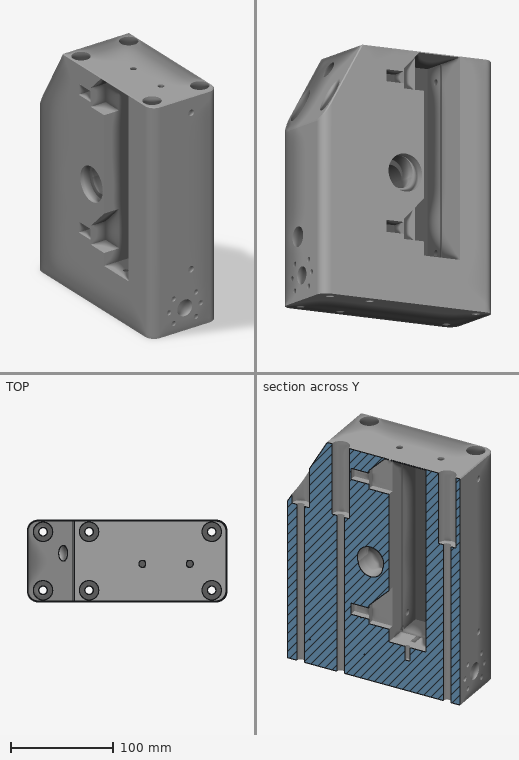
import cadquery as cq
import math

LENGTH = 195.0
WIDTH = 80.0
HEIGHT = 253.0
SLOPE_RUN = 45.0
SLOPE_START = 174.8
CORNER_RADIUS = 10.4
EDGE_CHAMFER = 1.0
MID_Y = WIDTH / 2

SCREW_XS = (15.2, 60.2, 180.1)
SCREW_Y_OFFSET = 28.5
SCREW_DIAMETER = 8.0
SCREW_HEAD_DIAMETER = 19.0
SCREW_SEAT_Z = 174.5

POCKET_LEFT = 115.0
POCKET_RIGHT = 155.8
POCKET_FLOOR = 49.3
POCKET_SKIN = 1.3
POCKET_CEILING = HEIGHT - POCKET_SKIN
POCKET_DEPTH = 63.2
POCKET_MID_X = (POCKET_LEFT + POCKET_RIGHT) / 2

NICHE_FLOORS = (63.5, 214.0)
NICHE_LEFT = 92.5
NICHE_SIDE_HEIGHT = 20.5
NICHE_DEPTH = 18.0
WINDOW_LEFT = 72.4
WINDOW_WEB = 0.3
WINDOW_RISE = 5.0
WINDOW_HEIGHT = 12.0

BORE_X = 93.9
BORE_Z = 130.0
BORE_DIAMETER = 27.0
BORE_HEAD_DIAMETER = 38.0
BORE_HEAD_DEPTH = 11.1
RELIEF_DIAMETER = 29.0
RELIEF_DEPTH = 30.4
RELIEF_RISE = (BORE_HEAD_DIAMETER - RELIEF_DIAMETER) / 2

BOLT_Y = 47.5
BOLT_DIAMETER = 6.8
UPPER_BOLT_Z = 235.3
UPPER_BOLT_HEAD_DIAMETER = 15.2
UPPER_BOLT_SEAT_X = 55.7
LOWER_BOLT_Z = 64.5
LOWER_BOLT_HEAD_DIAMETER = 20.5
LOWER_BOLT_SEAT_X = 11.5

PORT_Z = 24.5
PORT_DIAMETER = 18.0
PORT_RING_DIAMETER = 38.0
PORT_HOLE_DIAMETER = 5.3
PORT_HOLE_ANGLES = (0, 45, 135, 180, 225, 315)

CHANNEL_DIAMETER = 6.8
RISER_SPACING = 46.5
RISER_Y = 37.2
RISER_BOTTOM = 47.3
MANIFOLD_Z = 51.0
FEED_DIAMETER = 5.3
FEED_FRONT_Y = 22.0
FLOOR_HOLE_DIAMETER = 5.3
FLOOR_HOLE_Y = 11.6
FLOOR_HOLE_DEPTH = 15.2


def rod_x(diameter, y, z, start=0.0, end=LENGTH):
    """Cylinder along X."""
    return cq.Workplane("YZ", origin=(start, y, z)).circle(diameter / 2).extrude(end - start)


def rod_y(diameter, x, z, start=0.0, end=WIDTH):
    """Cylinder along Y."""
    return cq.Workplane("XZ", origin=(x, start, z)).circle(diameter / 2).extrude(start - end)


def rod_z(diameter, x, y, start=0.0, end=HEIGHT):
    """Cylinder along Z."""
    return cq.Workplane("XY", origin=(x, y, start)).circle(diameter / 2).extrude(end - start)


def front_recess(points, depth):
    """Prism sunk from the front face, with its outline given in X and Z."""
    return cq.Workplane("XZ").polyline(points).close().extrude(-depth)


def rectangle(left, bottom, right, top):
    return [(left, bottom), (right, bottom), (right, top), (left, top)]


def make_block():
    outline = [
        (0, 0),
        (LENGTH, 0),
        (LENGTH, HEIGHT),
        (SLOPE_RUN, HEIGHT),
        (0, SLOPE_START),
    ]
    block = front_recess(outline, WIDTH).edges("|Z").fillet(CORNER_RADIUS)
    slope_normal = cq.Vector(SLOPE_START - HEIGHT, 0, SLOPE_RUN)
    top_face = cq.selectors.DirectionMinMaxSelector(cq.Vector(0, 0, 1))
    slope_face = cq.selectors.DirectionMinMaxSelector(slope_normal)
    return block.faces(top_face + slope_face).edges().chamfer(EDGE_CHAMFER)


def cut_screws(body):
    for x in SCREW_XS:
        for y in (MID_Y - SCREW_Y_OFFSET, MID_Y + SCREW_Y_OFFSET):
            body = body.cut(rod_z(SCREW_DIAMETER, x, y))
            body = body.cut(rod_z(SCREW_HEAD_DIAMETER, x, y, start=SCREW_SEAT_Z))
    return body


def cut_pocket(body):
    pocket = rectangle(POCKET_LEFT, POCKET_FLOOR, POCKET_RIGHT, POCKET_CEILING)
    return body.cut(front_recess(pocket, POCKET_DEPTH))


def cut_niches(body):
    for floor in NICHE_FLOORS:
        side_top = floor + NICHE_SIDE_HEIGHT
        roof_top = min(side_top + POCKET_LEFT - NICHE_LEFT, POCKET_CEILING)
        roof_x = NICHE_LEFT + roof_top - side_top
        niche = [
            (NICHE_LEFT, floor),
            (POCKET_RIGHT, floor),
            (POCKET_RIGHT, roof_top),
            (roof_x, roof_top),
            (NICHE_LEFT, side_top),
        ]
        body = body.cut(front_recess(niche, NICHE_DEPTH))

        sill = floor + WINDOW_RISE
        window = rectangle(WINDOW_LEFT, sill, NICHE_LEFT - WINDOW_WEB, sill + WINDOW_HEIGHT)
        body = body.cut(front_recess(window, NICHE_DEPTH))
    return body


def cut_cross_bore(body):
    body = body.cut(rod_y(BORE_DIAMETER, BORE_X, BORE_Z))
    body = body.cut(rod_y(BORE_HEAD_DIAMETER, BORE_X, BORE_Z, end=BORE_HEAD_DEPTH))
    return body.cut(rod_y(RELIEF_DIAMETER, BORE_X, BORE_Z + RELIEF_RISE, end=RELIEF_DEPTH))


def cut_bolts(body):
    bolts = (
        (UPPER_BOLT_Z, UPPER_BOLT_HEAD_DIAMETER, UPPER_BOLT_SEAT_X),
        (LOWER_BOLT_Z, LOWER_BOLT_HEAD_DIAMETER, LOWER_BOLT_SEAT_X),
    )
    for z, head_diameter, seat_x in bolts:
        body = body.cut(rod_x(BOLT_DIAMETER, BOLT_Y, z))
        body = body.cut(rod_x(head_diameter, BOLT_Y, z, end=seat_x))
    return body


def cut_port(body):
    ring_radius = PORT_RING_DIAMETER / 2
    body = body.cut(rod_x(PORT_DIAMETER, MID_Y, PORT_Z))
    for angle in PORT_HOLE_ANGLES:
        y = MID_Y + ring_radius * math.cos(math.radians(angle))
        z = PORT_Z + ring_radius * math.sin(math.radians(angle))
        body = body.cut(rod_x(PORT_HOLE_DIAMETER, y, z))
    return body


def cut_channels(body):
    left_x = POCKET_MID_X - RISER_SPACING / 2
    right_x = POCKET_MID_X + RISER_SPACING / 2
    for x in (left_x, right_x):
        body = body.cut(rod_z(CHANNEL_DIAMETER, x, RISER_Y, start=RISER_BOTTOM))
    body = body.cut(rod_x(CHANNEL_DIAMETER, RISER_Y, MANIFOLD_Z, left_x, right_x))
    body = body.cut(rod_y(FEED_DIAMETER, POCKET_MID_X, POCKET_FLOOR, FEED_FRONT_Y, RISER_Y))
    floor_hole_bottom = POCKET_FLOOR - FLOOR_HOLE_DEPTH
    return body.cut(rod_z(FLOOR_HOLE_DIAMETER, POCKET_MID_X, FLOOR_HOLE_Y, floor_hole_bottom, POCKET_FLOOR))


result = make_block()
for cut_feature in (cut_screws, cut_pocket, cut_niches, cut_cross_bore, cut_bolts, cut_port, cut_channels):
    result = cut_feature(result)